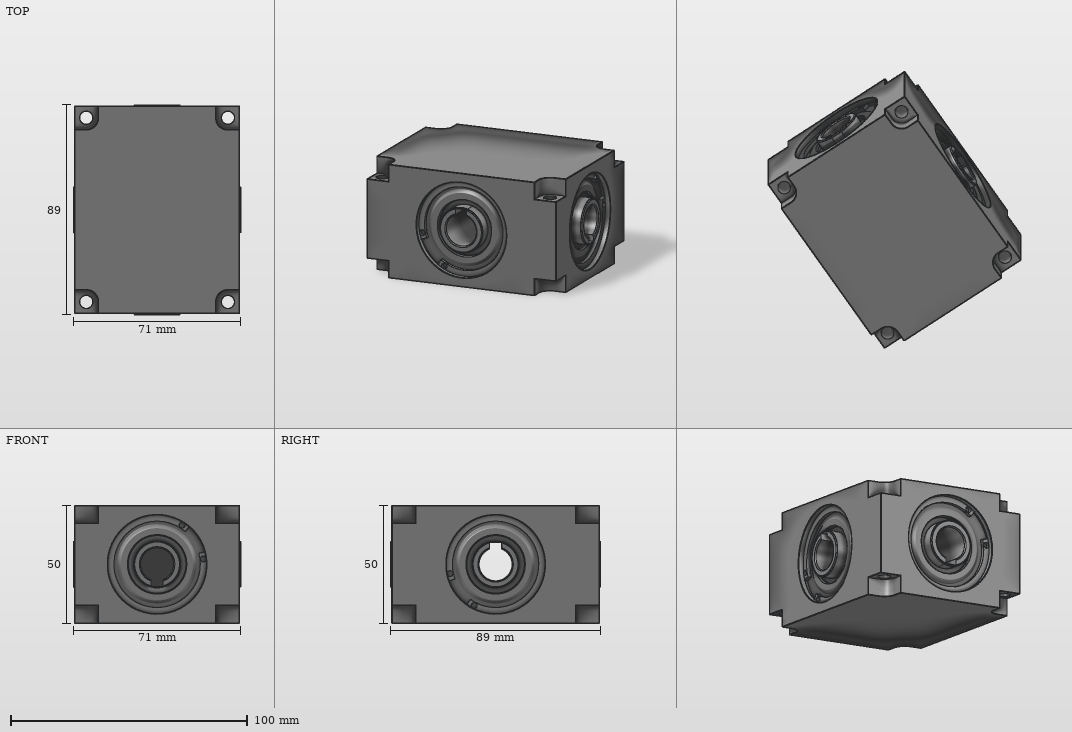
import cadquery as cq
import math

length_x = 70.0
length_y = 88.0
height = 50.0
edge_chamfer = 0.25

pocket_side = 10.0
pocket_depth = 7.5
pocket_fillet = 5.0
mount_hole_diameter = 5.5
mount_hole_inset = 5.0

recess_radius = 20.9
recess_depth = 4.2

ring_inner_radius = 18.3
ring_outer_radius = 21.5
ring_thickness = 1.75
ring_gap_half_angle = 17.4
lug_hole_diameter = 2.5
lug_hole_half_angle = 25.5
lug_hole_pitch_radius = 19.75
gap_angle_y_face = 32.0
gap_angle_x_face = 217.0

seal_base_radius = 16.75
seal_top_radius = 15.4
seal_height = 1.1
seal_fillet = 0.5

groove_floor_radius = 12.2
groove_floor_depth = 5.2
groove_lip_chamfer = 0.4
groove_lip_chamfer_depth = 1.0

shaft_radius = 10.0
shaft_protrusion = 0.5
shaft_chamfer = 0.5
shaft_chamfer_length = 0.8
bore_radius = 7.0
bore_chamfer = 0.5
keyway_width = 5.0
keyway_reach = 9.3
blind_bore_depth = 30.0

x_shaft_length = length_x + 2 * shaft_protrusion


def make_housing():
    """Rectangular block with a filleted pocket and a through hole at each corner."""
    block = cq.Workplane("XY").box(length_x, length_y, height)
    pocket_cutter = (
        cq.Workplane("XY")
        .rect(length_x, length_y, forConstruction=True)
        .vertices()
        .rect(2 * pocket_side, 2 * pocket_side)
        .extrude(pocket_depth)
        .edges("|Z")
        .fillet(pocket_fillet)
    )
    top_pockets = pocket_cutter.translate((0, 0, height / 2 - pocket_depth))
    bottom_pockets = pocket_cutter.translate((0, 0, -height / 2))
    mount_holes = (
        cq.Workplane("XY")
        .rect(length_x - 2 * mount_hole_inset, length_y - 2 * mount_hole_inset, forConstruction=True)
        .vertices()
        .circle(mount_hole_diameter / 2)
        .extrude(height, both=True)
    )
    body = block.cut(top_pockets).cut(bottom_pockets)
    outer_edges = body.faces("<X or >X or <Y or >Y or <Z or >Z").edges()
    return outer_edges.chamfer(edge_chamfer).cut(mount_holes)


def make_recess_cutter(plane):
    """Space removed from a side face around the seal and the shaft."""
    seal_top = -recess_depth + seal_height
    ring_top = -recess_depth + ring_thickness
    profile = (
        cq.Workplane("XY")
        .moveTo(shaft_radius, 0)
        .lineTo(shaft_radius, -groove_floor_depth)
        .lineTo(groove_floor_radius, -groove_floor_depth)
        .lineTo(groove_floor_radius, seal_top - groove_lip_chamfer_depth)
        .lineTo(groove_floor_radius + groove_lip_chamfer, seal_top)
        .lineTo(seal_top_radius, seal_top)
        .lineTo(seal_base_radius, -recess_depth)
        .lineTo(ring_outer_radius, -recess_depth)
        .lineTo(ring_outer_radius, ring_top)
        .lineTo(recess_radius, ring_top)
        .lineTo(recess_radius, -edge_chamfer)
        .lineTo(recess_radius + edge_chamfer, 0)
        .close()
    )
    cutter = (
        profile.revolve(360, (0, 0, 0), (0, 1, 0))
        .rotate((0, 0, 0), (1, 0, 0), 90)
    )
    seal_rims = cutter.edges("%CIRCLE").filter(
        lambda rim: seal_top_radius <= round(rim.radius(), 3) <= seal_base_radius
    )
    cutter = seal_rims.fillet(seal_fillet)
    return cq.Workplane(obj=cutter.val().moved(cq.Location(plane)))


def make_retaining_ring(plane, gap_angle):
    """Open ring with a lug hole on each side of its gap."""
    ring_plane = cq.Workplane(plane).workplane(offset=-recess_depth)
    ring = ring_plane.circle(ring_outer_radius).circle(ring_inner_radius).extrude(ring_thickness)
    gap_reach = 2 * ring_outer_radius
    gap_corners = [
        polar(gap_reach, gap_angle - ring_gap_half_angle),
        polar(gap_reach, gap_angle + ring_gap_half_angle),
    ]
    gap = ring_plane.polyline([(0, 0)] + gap_corners).close().extrude(ring_thickness)
    lug_centers = [
        polar(lug_hole_pitch_radius, gap_angle - lug_hole_half_angle),
        polar(lug_hole_pitch_radius, gap_angle + lug_hole_half_angle),
    ]
    lug_holes = ring_plane.pushPoints(lug_centers).circle(lug_hole_diameter / 2).extrude(ring_thickness)
    return ring.cut(gap).cut(lug_holes)


def polar(radius, degrees):
    """Point at a radius and an angle."""
    return (radius * math.cos(math.radians(degrees)), radius * math.sin(math.radians(degrees)))


def make_cone(plane, offset, start_radius, end_radius, length):
    """Cone starting at an offset outside the face and running outwards."""
    start = plane.origin + plane.zDir * offset
    return cq.Workplane(obj=cq.Solid.makeCone(start_radius, end_radius, length, pnt=start, dir=plane.zDir))


def make_shaft_tip(plane):
    """End of a hollow shaft with a slim chamfer, standing proud of the face."""
    chamfer_start = shaft_protrusion - shaft_chamfer_length
    cylinder = (
        cq.Workplane(plane)
        .workplane(offset=-groove_floor_depth)
        .circle(shaft_radius)
        .extrude(groove_floor_depth + chamfer_start)
    )
    tip_radius = shaft_radius - shaft_chamfer
    return cylinder.union(make_cone(plane, chamfer_start, shaft_radius, tip_radius, shaft_chamfer_length))


def make_bore_cutter(plane, depth, key_direction):
    """Bore with a chamfered mouth and a keyway towards +Z (1) or -Z (-1)."""
    tip = cq.Workplane(plane).workplane(offset=shaft_protrusion)
    bore = tip.circle(bore_radius).extrude(-depth)
    mouth_start = shaft_protrusion - bore_chamfer
    mouth = make_cone(plane, mouth_start, bore_radius, bore_radius + bore_chamfer, bore_chamfer)
    keyway = (
        tip.center(0, key_direction * keyway_reach / 2)
        .rect(keyway_width, keyway_reach)
        .extrude(-depth)
    )
    return bore.union(mouth).union(keyway)


def side_plane(origin, right, outward):
    """Plane on a side face whose local Y is the part's +Z."""
    return cq.Plane(origin=origin, xDir=right, normal=outward)


front = side_plane((0, -length_y / 2, 0), (1, 0, 0), (0, -1, 0))
back = side_plane((0, length_y / 2, 0), (-1, 0, 0), (0, 1, 0))
left = side_plane((-length_x / 2, 0, 0), (0, -1, 0), (-1, 0, 0))
right = side_plane((length_x / 2, 0, 0), (0, 1, 0), (1, 0, 0))

shaft_ends = [
    (front, gap_angle_y_face, blind_bore_depth, -1),
    (back, gap_angle_y_face, blind_bore_depth, -1),
    (left, gap_angle_x_face, x_shaft_length / 2, 1),
    (right, gap_angle_x_face, x_shaft_length / 2, 1),
]

result = make_housing()
for plane, gap_angle, bore_depth, key_direction in shaft_ends:
    result = result.cut(make_recess_cutter(plane))
    result = result.union(make_retaining_ring(plane, gap_angle))
    result = result.union(make_shaft_tip(plane))
    result = result.cut(make_bore_cutter(plane, bore_depth, key_direction))